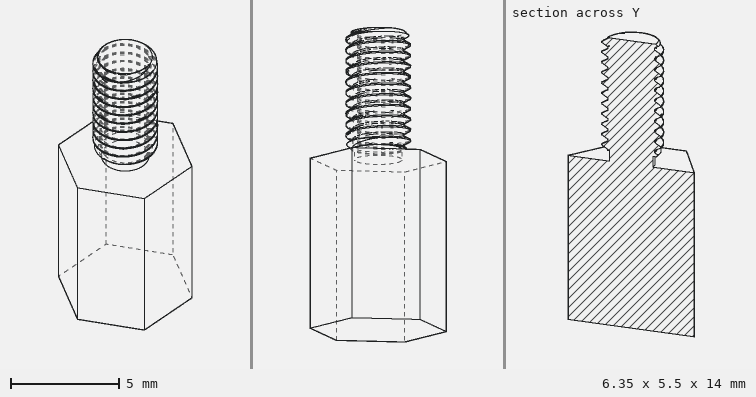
import cadquery as cq
import math

across_flats = 5.5
body_height = 8.0
across_corners = across_flats / math.cos(math.pi / 6)

stud_length = 6.0
neck_diameter = 2.2
neck_length = 0.5
thread_bottom = body_height + neck_length
thread_length = stud_length - neck_length

thread_diameter = 3.0
chamfered_end_diameter = 2.5
thread_pitch = 0.5
flank_angle = math.radians(30)
crest_width = thread_pitch / 8
thread_depth = 0.6134 * thread_pitch
crest_radius = thread_diameter / 2
root_radius = crest_radius - thread_depth
thread_turns = thread_length / thread_pitch
thread_start_angle = 180

angle_per_rise = 2 * math.pi / thread_pitch
crest_half_angle = crest_width / 2 * angle_per_rise
flank_sweep = thread_depth * math.tan(flank_angle) * angle_per_rise
root_start_angle = crest_half_angle + flank_sweep
flank_curve_points = 12

envelope_clearance = 0.01


def polar_point(radius, angle):
    return (radius * math.cos(angle), radius * math.sin(angle))


def falling_flank(fraction):
    """Spiral from the crest (fraction 0) down to the root (fraction 1)."""
    return polar_point(crest_radius - thread_depth * fraction, crest_half_angle + flank_sweep * fraction)


def rising_flank(fraction):
    """Mirror image of the falling flank, from the root back up to the crest."""
    x, y = falling_flank(1 - fraction)
    return (x, -y)


def hexagonal_body():
    return cq.Workplane("XY").polygon(6, across_corners).extrude(body_height)


def neck():
    return (
        cq.Workplane("XY", origin=(0, 0, body_height))
        .circle(neck_diameter / 2)
        .extrude(neck_length)
    )


def full_thread():
    """Level cut through the thread, twisted one turn per pitch as it rises."""
    return (
        cq.Workplane("XY", origin=(0, 0, thread_bottom))
        .transformed(rotate=(0, 0, thread_start_angle))
        .moveTo(*polar_point(crest_radius, -crest_half_angle))
        .threePointArc((crest_radius, 0), polar_point(crest_radius, crest_half_angle))
        .parametricCurve(falling_flank, N=flank_curve_points, makeWire=False)
        .threePointArc((-root_radius, 0), polar_point(root_radius, -root_start_angle))
        .parametricCurve(rising_flank, N=flank_curve_points, makeWire=False)
        .wire()
        .twistExtrude(thread_length, 360 * thread_turns)
    )


def chamfered_envelope():
    """Cylinder around the thread whose chamfers bevel its first and last turns."""
    envelope_radius = crest_radius + envelope_clearance
    return (
        cq.Workplane("XY", origin=(0, 0, thread_bottom))
        .circle(envelope_radius)
        .extrude(thread_length)
        .faces("<Z or >Z")
        .chamfer(envelope_radius - chamfered_end_diameter / 2)
    )


threaded_stud = full_thread().intersect(chamfered_envelope())
result = hexagonal_body().union(neck()).union(threaded_stud)